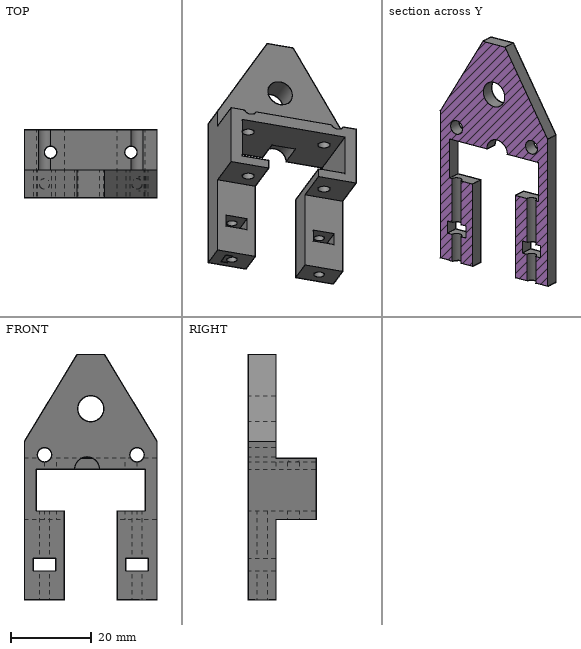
import cadquery as cq

width = 33.03
plate_thickness = 7.0
height = 61.0
shoulder_height = 39.4
head_width = 6.86

block_depth = 10.0
block_bottom = 19.9
block_top = 35.2

fork_gap = 13.1
window_width = 27.1
window_bottom = 22.1
window_top = 32.4

arch_diameter = 6.2
arch_offset = -0.92

head_hole_diameter = 6.41
head_hole_height = 47.5
screw_spacing = 23.0
mount_hole_diameter = 3.5
mount_hole_height = 36.05
rod_hole_diameter = 3.0
rod_hole_spacing = 20.0
rod_hole_y = 11.35
leg_hole_diameter = 2.6

slot_width = 5.5
slot_height = 3.1
slot_center_height = 8.75

pad_x = 12.9
pad_width = 1.7
pad_length = 3.6
pad_thickness = 0.1

depth = plate_thickness + block_depth


def box(x_center, x_size, y_start, y_end, z_start, z_end):
    """Box centred on x_center in X, between the given Y and Z limits."""
    solid = cq.Workplane("XY").box(x_size, y_end - y_start, z_end - z_start, centered=(True, False, False))
    return solid.translate((x_center, y_start, z_start))


def hole_along_y(x, z, diameter, length):
    """Cylinder running back from the front face."""
    return cq.Workplane("XZ").center(x, z).circle(diameter / 2).extrude(-length)


def hole_along_z(x, y, diameter, length):
    """Cylinder running up from the underside of the foot pad."""
    base = cq.Workplane("XY", origin=(x, y, -pad_thickness))
    return base.circle(diameter / 2).extrude(length + pad_thickness)


def make_plate():
    outline = [
        (-width / 2, 0),
        (width / 2, 0),
        (width / 2, shoulder_height),
        (head_width / 2, height),
        (-head_width / 2, height),
        (-width / 2, shoulder_height),
    ]
    return cq.Workplane("XZ").polyline(outline).close().extrude(-plate_thickness)


def make_block():
    return box(0, width, plate_thickness, depth, block_bottom, block_top)


def make_foot_pad():
    pad_y = plate_thickness / 2
    return box(pad_x, pad_width, pad_y - pad_length / 2, pad_y + pad_length / 2, -pad_thickness, 0)


def make_fork_opening():
    """T-shaped opening that leaves the two legs."""
    gap = box(0, fork_gap, 0, depth, 0, window_top)
    window = box(0, window_width, 0, depth, window_bottom, window_top)
    return gap.union(window)


def make_nut_slot(x):
    slot_bottom = slot_center_height - slot_height / 2
    return box(x, slot_width, 0, plate_thickness, slot_bottom, slot_bottom + slot_height)


body = make_plate().union(make_block()).union(make_foot_pad())
body = body.cut(make_fork_opening())
body = body.cut(hole_along_y(arch_offset, window_top, arch_diameter, plate_thickness))
body = body.cut(hole_along_y(0, head_hole_height, head_hole_diameter, plate_thickness))

for side in (-1, 1):
    screw_x = side * screw_spacing / 2
    rod_x = side * rod_hole_spacing / 2
    body = body.cut(hole_along_y(screw_x, mount_hole_height, mount_hole_diameter, depth))
    body = body.cut(hole_along_z(rod_x, rod_hole_y, rod_hole_diameter, block_top))
    body = body.cut(hole_along_z(screw_x, plate_thickness / 2, leg_hole_diameter, window_bottom))
    body = body.cut(make_nut_slot(screw_x))

result = body